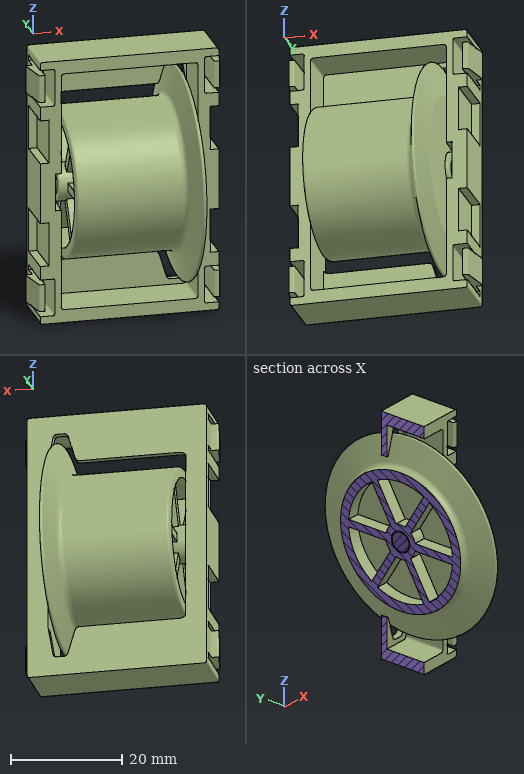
import cadquery as cq

FRAME_WIDTH = 33.2
FRAME_HEIGHT = 50.0
FRAME_FRONT_Y = -5.5
FRAME_BACK_Y = 4.5
FRAME_CORNER_RADIUS = 0.5
WINDOW_WIDTH = 25.4
WINDOW_HEIGHT = 45.0
WINDOW_CORNER_RADIUS = 0.6
BACK_THICKNESS = 1.4
BACK_INNER_Y = FRAME_BACK_Y - BACK_THICKNESS
HALF_FRAME = FRAME_WIDTH / 2
HALF_WINDOW = WINDOW_WIDTH / 2

OPENING_TREAD_Z = 16.0
OPENING_FLANGE_Z = 21.45
OPENING_SLOPE_START_X = 7.55
OPENING_FLANGE_LEFT_X = 9.2
OPENING_FLANGE_RIGHT_X = 11.7
OPENING_RIGHT_Z = 15.6
OPENING_END_RADIUS = 1.5
OPENING_END_OVERLAP = 0.35
OPENING_NOTCH_RADIUS = 0.8

RECESS_DEPTH = 1.6
RECESS_LOW_Z = 5.7
RECESS_HIGH_Z = 13.9

POCKET_DEPTH = 2.7
POCKET_LOW_Z = 16.5
POCKET_HIGH_Z = 23.5
POCKET_CORNER_RADIUS = 0.4
CLIP_LOW_Z = 17.4
CLIP_HIGH_Z = 22.5
CLIP_ARM_THICKNESS = 0.9
CLIP_HOOK_Y = 0.5
CLIP_HOOK_REACH = 1.3
CLIP_NOSE_REACH = 0.15
CLIP_HOOK_FILLET = 0.25
CLIP_SMALL_FILLET = 0.15

SLOT_DEPTH = 1.05
SLOT_MOUTH_WIDTH = 7.0
SLOT_INNER_WIDTH = 6.0
SLOT_FLOOR_WIDTH = 5.4
SLOT_BEVEL_Y = 1.8
SLOT_FLOOR_Y = 2.0

WHEEL_HALF_LENGTH = 11.9
TREAD_RADIUS = 14.0
TREAD_EDGE_RADIUS = 0.5
FLANGE_RADIUS = 19.95
FLANGE_SHOULDER_RADIUS = 19.7
FLANGE_ROOT_X = 8.5
FLANGE_TIP_LEFT_X = 10.1
FLANGE_TIP_RIGHT_X = 10.75
FLANGE_ROOT_FILLET = 1.0
FLANGE_REAR_RADIUS = 13.75
CAVITY_RADIUS = 12.0
WEB_THICKNESS = 2.0
HUB_RADIUS = 3.5
HUB_HALF_LENGTH = 12.6
HUB_EDGE_RADIUS = 0.25
BORE_DIAMETER = 4.2
SPOKE_COUNT = 6
SPOKE_THICKNESS = 1.6
SPOKE_SETBACK = 1.0
RING_SEARCH = 0.025

AXLE_DIAMETER = 4.0
AXLE_HALF_LENGTH = HALF_WINDOW + SLOT_DEPTH


def block(x_range, y_range, z_range):
    """Box between pairs of limits."""
    (x0, x1), (y0, y1), (z0, z1) = x_range, y_range, z_range
    return cq.Workplane("XY").box(x1 - x0, y1 - y0, z1 - z0, centered=False).translate((x0, y0, z0))


def upright_block(width, height, y_front, y_back):
    """Box centred on the Y axis."""
    return block((-width / 2, width / 2), (y_front, y_back), (-height / 2, height / 2))


def with_mirror(shape, plane):
    return shape.union(shape.mirror(plane))


def fillet_near(shape, point, radius):
    """Fillet the edge whose midpoint is closest to a point."""
    return shape.edges(cq.NearestToPointSelector(point)).fillet(radius)


def make_opening():
    """Cutter for the back wall: wheel-shaped, with notches for the flange."""
    left_x = -HALF_WINDOW - OPENING_END_OVERLAP
    opening = (
        cq.Workplane("XZ", origin=(0, FRAME_BACK_Y, 0))
        .polyline([
            (left_x, 0),
            (left_x, OPENING_TREAD_Z),
            (OPENING_SLOPE_START_X, OPENING_TREAD_Z),
            (OPENING_FLANGE_LEFT_X, OPENING_FLANGE_Z),
            (OPENING_FLANGE_RIGHT_X, OPENING_FLANGE_Z),
            (HALF_WINDOW, OPENING_RIGHT_Z),
            (HALF_WINDOW, 0),
        ])
        .close()
        .extrude(BACK_THICKNESS)
    )
    for x, z, radius in [
        (left_x, OPENING_TREAD_Z, OPENING_END_RADIUS),
        (OPENING_SLOPE_START_X, OPENING_TREAD_Z, OPENING_NOTCH_RADIUS),
        (OPENING_FLANGE_LEFT_X, OPENING_FLANGE_Z, OPENING_NOTCH_RADIUS),
        (OPENING_FLANGE_RIGHT_X, OPENING_FLANGE_Z, OPENING_NOTCH_RADIUS),
    ]:
        opening = fillet_near(opening, (x, BACK_INNER_Y + BACK_THICKNESS / 2, z), radius)
    return with_mirror(opening, "XY")


def make_pocket():
    """Upper left clip pocket, rounded along its inner corners."""
    floor_x = -HALF_FRAME + POCKET_DEPTH
    pocket = block((-HALF_FRAME, floor_x), (FRAME_FRONT_Y, BACK_INNER_Y), (POCKET_LOW_Z, POCKET_HIGH_Z))
    return pocket.edges("|Y and >X").fillet(POCKET_CORNER_RADIUS)


def make_clip():
    """Upper left clip: a springy arm from the back wall with a wedge-shaped hook."""
    arm_inner_x = -HALF_FRAME + CLIP_ARM_THICKNESS
    hook_x = -HALF_FRAME - CLIP_HOOK_REACH
    nose_x = -HALF_FRAME - CLIP_NOSE_REACH
    clip = (
        cq.Workplane("XY", origin=(0, 0, CLIP_LOW_Z))
        .polyline([
            (arm_inner_x, BACK_INNER_Y),
            (-HALF_FRAME, BACK_INNER_Y),
            (-HALF_FRAME, CLIP_HOOK_Y),
            (hook_x, CLIP_HOOK_Y),
            (nose_x, FRAME_FRONT_Y),
            (arm_inner_x, FRAME_FRONT_Y),
        ])
        .close()
        .extrude(CLIP_HIGH_Z - CLIP_LOW_Z)
    )
    for x, y, radius in [
        (hook_x, CLIP_HOOK_Y, CLIP_HOOK_FILLET),
        (-HALF_FRAME, CLIP_HOOK_Y, CLIP_SMALL_FILLET),
        (nose_x, FRAME_FRONT_Y, CLIP_SMALL_FILLET),
        (arm_inner_x, FRAME_FRONT_Y, CLIP_SMALL_FILLET),
    ]:
        clip = fillet_near(clip, (x, y, (CLIP_LOW_Z + CLIP_HIGH_Z) / 2), radius)
    return clip


def make_axle_slot():
    """Left axle slot, open to the front, narrowing slightly to a bevelled floor."""
    half_profile = [
        (FRAME_FRONT_Y, SLOT_MOUTH_WIDTH / 2),
        (SLOT_BEVEL_Y, SLOT_INNER_WIDTH / 2),
        (SLOT_FLOOR_Y, SLOT_FLOOR_WIDTH / 2),
    ]
    mirrored = [(y, -z) for y, z in reversed(half_profile)]
    return (
        cq.Workplane("YZ", origin=(-HALF_WINDOW - SLOT_DEPTH, 0, 0))
        .polyline(half_profile + mirrored)
        .close()
        .extrude(SLOT_DEPTH)
    )


def make_frame():
    frame = upright_block(FRAME_WIDTH, FRAME_HEIGHT, FRAME_FRONT_Y, FRAME_BACK_Y)
    frame = frame.edges("|Y").fillet(FRAME_CORNER_RADIUS)

    window = upright_block(WINDOW_WIDTH, WINDOW_HEIGHT, FRAME_FRONT_Y, BACK_INNER_Y)
    frame = frame.cut(window.edges("|Y").fillet(WINDOW_CORNER_RADIUS))
    back_window = upright_block(WINDOW_WIDTH, WINDOW_HEIGHT, BACK_INNER_Y, FRAME_BACK_Y)
    frame = frame.cut(make_opening().intersect(back_window))

    recess = block(
        (-HALF_FRAME, -HALF_FRAME + RECESS_DEPTH),
        (FRAME_FRONT_Y, BACK_INNER_Y),
        (RECESS_LOW_Z, RECESS_HIGH_Z),
    )
    side_cutters = with_mirror(recess.union(make_pocket()), "XY").union(make_axle_slot())
    frame = frame.cut(with_mirror(side_cutters, "YZ"))

    clips = with_mirror(with_mirror(make_clip(), "XY"), "YZ")
    return frame.union(clips)


def fillet_ring(shape, x, radius):
    """Fillet the circular edge that lies at one X position."""
    reach = 2 * FLANGE_RADIUS
    at_x = cq.selectors.BoxSelector((x - RING_SEARCH, -reach, -reach), (x + RING_SEARCH, reach, reach))
    return shape.edges("%CIRCLE").edges(at_x).fillet(radius)


def x_cylinder(radius, x_start, x_end):
    return cq.Workplane("YZ", origin=(x_start, 0, 0)).circle(radius).extrude(x_end - x_start)


def make_wheel():
    end = WHEEL_HALF_LENGTH
    tip_middle_x = (FLANGE_TIP_LEFT_X + FLANGE_TIP_RIGHT_X) / 2
    half_section = (
        cq.Workplane("XY")
        .moveTo(-end, 0)
        .lineTo(-end, TREAD_RADIUS)
        .lineTo(FLANGE_ROOT_X, TREAD_RADIUS)
        .lineTo(FLANGE_TIP_LEFT_X, FLANGE_SHOULDER_RADIUS)
        .threePointArc((tip_middle_x, FLANGE_RADIUS), (FLANGE_TIP_RIGHT_X, FLANGE_SHOULDER_RADIUS))
        .lineTo(end, FLANGE_REAR_RADIUS)
        .lineTo(end, 0)
        .close()
    )
    wheel = half_section.revolve(360, (0, 0, 0), (1, 0, 0))
    wheel = fillet_ring(wheel, -end, TREAD_EDGE_RADIUS)
    wheel = fillet_ring(wheel, FLANGE_ROOT_X, FLANGE_ROOT_FILLET)

    web_x = end - WEB_THICKNESS
    wheel = wheel.cut(x_cylinder(CAVITY_RADIUS, -end, web_x))

    spoke_start = -end + SPOKE_SETBACK
    for index in range(SPOKE_COUNT):
        spoke = block(
            (spoke_start, web_x),
            (0, CAVITY_RADIUS),
            (-SPOKE_THICKNESS / 2, SPOKE_THICKNESS / 2),
        )
        spoke = spoke.rotate((0, 0, 0), (1, 0, 0), index * 360 / SPOKE_COUNT)
        wheel = wheel.union(spoke)

    hub = x_cylinder(HUB_RADIUS, -HUB_HALF_LENGTH, HUB_HALF_LENGTH)
    wheel = wheel.union(hub.edges().fillet(HUB_EDGE_RADIUS))
    return wheel.cut(x_cylinder(BORE_DIAMETER / 2, -HUB_HALF_LENGTH, HUB_HALF_LENGTH))


def make_axle():
    return x_cylinder(AXLE_DIAMETER / 2, -AXLE_HALF_LENGTH, AXLE_HALF_LENGTH)


frame = make_frame()
wheel = make_wheel()
axle = make_axle()
result = cq.Compound.makeCompound([frame.val(), wheel.val(), axle.val()])